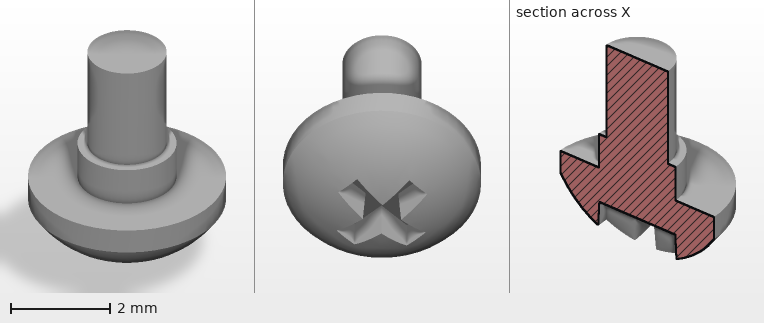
import cadquery as cq
import math

shank_diameter = 1.6
shank_length = 2.2
collar_diameter = 2.0
collar_length = 0.8
head_diameter = 4.0
head_height = 1.63
head_band_height = 0.53

recess_span = 2.04
recess_width = 0.55
recess_depth = 0.8
recess_draft = 3.0

head_radius = head_diameter / 2
dome_height = head_height - head_band_height
dome_radius = (head_radius**2 + dome_height**2) / (2 * dome_height)
dome_center_z = dome_radius - head_height


def make_body():
    """Shank, collar and domed head as one profile revolved about Z."""
    collar_radius = collar_diameter / 2
    shank_radius = shank_diameter / 2
    shank_end_z = collar_length + shank_length
    arc_middle_radius = head_radius / 2
    arc_middle_z = dome_center_z - math.sqrt(dome_radius**2 - arc_middle_radius**2)
    return (
        cq.Workplane("XZ")
        .moveTo(0, -head_height)
        .threePointArc((arc_middle_radius, arc_middle_z), (head_radius, -head_band_height))
        .lineTo(head_radius, 0)
        .lineTo(collar_radius, 0)
        .lineTo(collar_radius, collar_length)
        .lineTo(shank_radius, collar_length)
        .lineTo(shank_radius, shank_end_z)
        .lineTo(0, shank_end_z)
        .close()
        .revolve(360, (0, 0), (0, 1))
    )


def make_recess_wing(length_x, length_y):
    """One straight bar of the cross, narrowing from the dome apex into the head."""
    return (
        cq.Workplane("XY")
        .workplane(offset=-head_height)
        .rect(length_x, length_y)
        .extrude(recess_depth, taper=recess_draft)
    )


def make_cross_recess():
    """Two drafted bars crossing at right angles on the axis."""
    wing_along_x = make_recess_wing(recess_span, recess_width)
    wing_along_y = make_recess_wing(recess_width, recess_span)
    return wing_along_x.union(wing_along_y)


result = make_body().cut(make_cross_recess())